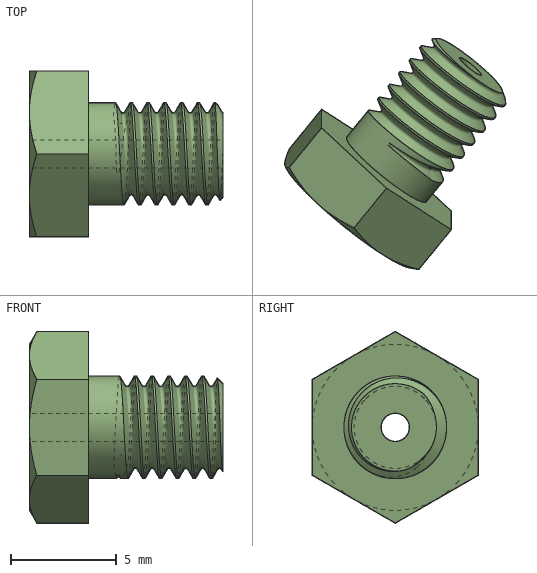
import cadquery as cq
import math


across_flats = 7.84
across_corners = across_flats / math.cos(math.radians(30))
head_height = 2.794
head_chamfer_angle = 30
head_chamfer_height = (across_corners - across_flats) / 2 * math.tan(math.radians(head_chamfer_angle))

major_radius = 4.85 / 2
shank_length = 6.35
tip_chamfer = 0.36
seam_angle = 200
bore_diameter = 1.32

pitch = 25.4 / 32
sharp_height = pitch * math.cos(math.radians(30))
flank_slope = math.tan(math.radians(30))
flank_depth = sharp_height * 5 / 8
flank_end_width = pitch / 4
root_round_radius = sharp_height / 6
root_round_depth = root_round_radius * (1 - math.sin(math.radians(30)))
thread_depth = flank_depth + root_round_depth
groove_overshoot = 0.06

groove_height_at_zero = 1.42
runout_start_angle = -36
full_depth_angle = 48
runout_steps = 8

origin = cq.Vector(0, 0, 0)
axis_direction = cq.Vector(0, 0, 1)


def groove_height(angle):
    """Height of the groove centre above the head underside."""
    return groove_height_at_zero + pitch * angle / 360


def groove_section(angle, depth):
    """Closed groove outline, with its round root at the given depth, in the radial plane at the angle."""
    root_radius = major_radius - depth
    flank_end_radius = root_radius + root_round_depth
    outer_radius = major_radius + groove_overshoot
    half_flank_end = flank_end_width / 2
    half_outer = half_flank_end + (outer_radius - flank_end_radius) * flank_slope
    middle = groove_height(angle)
    outline = (
        cq.Workplane("XZ")
        .moveTo(flank_end_radius, middle - half_flank_end)
        .threePointArc((root_radius, middle), (flank_end_radius, middle + half_flank_end))
        .lineTo(outer_radius, middle + half_outer)
        .lineTo(outer_radius, middle - half_outer)
        .close()
    )
    return outline.val().rotate(origin, axis_direction, angle)


def make_head():
    """Hexagonal prism whose outer corners are trimmed by a cone."""
    prism = cq.Workplane("XY").polygon(6, across_corners).extrude(-head_height)
    envelope = (
        cq.Workplane("XZ")
        .moveTo(0, 0)
        .lineTo(across_corners / 2, 0)
        .lineTo(across_corners / 2, head_chamfer_height - head_height)
        .lineTo(across_flats / 2, -head_height)
        .lineTo(0, -head_height)
        .close()
        .revolve(360, (0, 0), (0, 1))
    )
    return prism.intersect(envelope)


def make_shank():
    """Plain cylinder with a chamfered tip."""
    cylinder = cq.Workplane("XY").circle(major_radius).extrude(shank_length)
    return cylinder.faces(">Z").chamfer(tip_chamfer).rotate((0, 0, 0), (0, 0, 1), seam_angle)


def make_groove():
    """Full-depth helical groove that leaves the shank through its tip."""
    start_height = groove_height(full_depth_angle)
    groove_length = shank_length + pitch - start_height
    helix = cq.Wire.makeHelix(pitch, groove_length, major_radius - flank_depth)
    helix = helix.rotate(origin, axis_direction, full_depth_angle)
    helix = helix.translate(cq.Vector(0, 0, start_height))
    axis = cq.Workplane("XZ").moveTo(0, start_height).lineTo(0, start_height + groove_length)
    section = cq.Workplane(groove_section(full_depth_angle, thread_depth)).toPending()
    return section.sweep(axis, auxSpine=cq.Workplane(helix))


def make_runout():
    """Start of the groove, deepening smoothly from the shank surface to full depth."""
    sections = []
    for step in range(runout_steps + 1):
        progress = step / runout_steps
        angle = runout_start_angle + progress * (full_depth_angle - runout_start_angle)
        sections.append(groove_section(angle, thread_depth * progress**2))
    return cq.Workplane(cq.Solid.makeLoft(sections))


bore = cq.Workplane("XY").workplane(offset=-head_height).circle(bore_diameter / 2)
bore = bore.extrude(head_height + shank_length)

threaded_shank = make_shank().cut(make_groove()).cut(make_runout())
screw = make_head().union(threaded_shank).cut(bore)

result = screw.rotate((0, 0, 0), (0, 1, 0), 90)